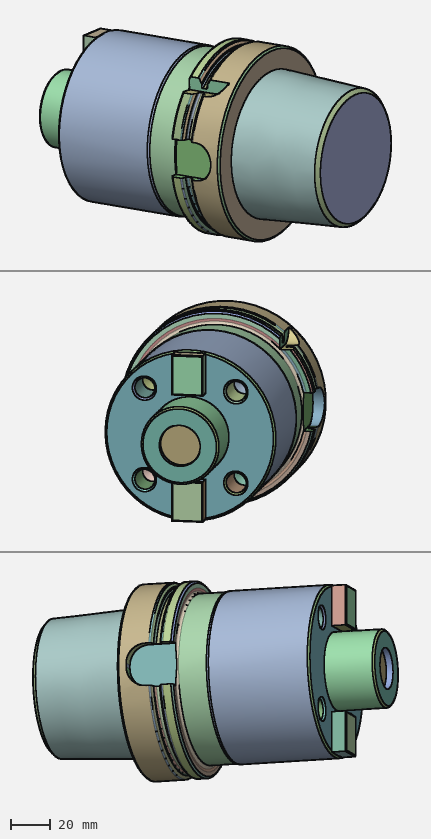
import cadquery as cq
import math

TOTAL_LENGTH = 177.0
BODY_START = 26.5
BODY_END = 81.5
FLANGE_START = 97.5
FLANGE_END = 126.9

SPIGOT_RADIUS = 40.0 / 2
BODY_RADIUS = 88.0 / 2
NECK_RADIUS = 87.0 / 2
FLANGE_RADIUS = 100.0 / 2
TAPER_LARGE_RADIUS = 38.4
TAPER_SMALL_RADIUS = 35.5
EDGE_CHAMFER = 1.0
BODY_REAR_BEVEL = 1.2
TAPER_END_CHAMFER = 2.1

UNDERCUT_FILLET = 1.5
UNDERCUT_RIM_RADIUS = 46.5
UNDERCUT_ANGLE = 8.0

GROOVE_CENTRE = 106.7
GROOVE_MOUTH_WIDTH = 6.4
GROOVE_FLANK_ANGLE = 55.0
GROOVE_LIP_ROUND = 1.0
TROUGH_WIDTH = 3.5
TROUGH_FLOOR_RADIUS = 46.2
TROUGH_FILLET = 0.9

RECESS_DIAMETER = 21.0
RECESS_DEPTH = 3.5

KEY_WIDTH = 16.0
KEY_INNER = 22.1
KEY_OUTER = 42.8
KEY_HEIGHT = 7.8
KEY_CHAMFER = 0.5

HOLE_DIAMETER = 10.3
HOLE_MOUTH_DIAMETER = 12.4
HOLE_OFFSET = 23.5
HOLE_DEPTH = 21.2
DRILL_POINT_ANGLE = 118.0

SLOT_START = 95.8
SLOT_END_RADIUS = 10.0
SLOT_END = 122.0
FRONT_SLOT_WIDTH = 2 * SLOT_END_RADIUS
FRONT_SLOT_FLOOR = 44.0
REAR_SLOT_WIDTH = 21.8
REAR_SLOT_FLOOR = 43.7
NOTCH_WALL = 31.9
NOTCH_FLOOR = 31.7


def add_undercut(profile):
    """Follow the neck into a concave fillet and up a slanted band to the flange face."""
    angle = math.radians(UNDERCUT_ANGLE)
    centre_radius = NECK_RADIUS + UNDERCUT_FILLET
    end_radius = centre_radius + UNDERCUT_FILLET * math.sin(angle)
    end_x = FLANGE_START + (UNDERCUT_RIM_RADIUS - end_radius) * math.tan(angle)
    start_x = end_x - UNDERCUT_FILLET * math.cos(angle)
    middle = (angle - math.pi / 2) / 2
    middle_point = (
        start_x + UNDERCUT_FILLET * math.cos(middle),
        centre_radius + UNDERCUT_FILLET * math.sin(middle),
    )
    return (
        profile.lineTo(start_x, NECK_RADIUS)
        .threePointArc(middle_point, (end_x, end_radius))
        .lineTo(FLANGE_START, UNDERCUT_RIM_RADIUS)
    )


def make_turned_body():
    profile = (
        cq.Workplane("XY")
        .lineTo(0, SPIGOT_RADIUS - EDGE_CHAMFER)
        .lineTo(EDGE_CHAMFER, SPIGOT_RADIUS)
        .lineTo(BODY_START, SPIGOT_RADIUS)
        .lineTo(BODY_START, BODY_RADIUS - EDGE_CHAMFER)
        .lineTo(BODY_START + EDGE_CHAMFER, BODY_RADIUS)
        .lineTo(BODY_END - BODY_REAR_BEVEL, BODY_RADIUS)
        .lineTo(BODY_END, NECK_RADIUS)
    )
    profile = (
        add_undercut(profile)
        .lineTo(FLANGE_START, FLANGE_RADIUS - EDGE_CHAMFER)
        .lineTo(FLANGE_START + EDGE_CHAMFER, FLANGE_RADIUS)
        .lineTo(FLANGE_END - EDGE_CHAMFER, FLANGE_RADIUS)
        .lineTo(FLANGE_END, FLANGE_RADIUS - EDGE_CHAMFER)
        .lineTo(FLANGE_END, TAPER_LARGE_RADIUS)
        .lineTo(TOTAL_LENGTH - TAPER_END_CHAMFER, TAPER_SMALL_RADIUS)
        .lineTo(TOTAL_LENGTH, TAPER_SMALL_RADIUS - TAPER_END_CHAMFER)
        .lineTo(TOTAL_LENGTH, 0)
        .close()
    )
    return profile.revolve(360, (0, 0, 0), (1, 0, 0))


def make_groove_cutter():
    angle = math.radians(GROOVE_FLANK_ANGLE)
    mouth_half = GROOVE_MOUTH_WIDTH / 2
    trough_half = TROUGH_WIDTH / 2
    flank_foot = FLANGE_RADIUS - (mouth_half - trough_half) * math.tan(angle)
    lip_tangent = GROOVE_LIP_ROUND * math.tan(angle / 2)
    lip_start = mouth_half + lip_tangent
    lip_end = (
        mouth_half - lip_tangent * math.cos(angle),
        FLANGE_RADIUS - lip_tangent * math.sin(angle),
    )
    lip_middle = (
        lip_start - GROOVE_LIP_ROUND * math.sin(angle / 2),
        FLANGE_RADIUS - GROOVE_LIP_ROUND * (1 - math.cos(angle / 2)),
    )
    fillet_middle_offset = TROUGH_FILLET * (1 - math.sqrt(0.5))
    fillet_middle = (trough_half - fillet_middle_offset, TROUGH_FLOOR_RADIUS + fillet_middle_offset)
    half_profile = (
        cq.Workplane("XY")
        .moveTo(0, FLANGE_RADIUS)
        .lineTo(lip_start, FLANGE_RADIUS)
        .threePointArc(lip_middle, lip_end)
        .lineTo(trough_half, flank_foot)
        .lineTo(trough_half, TROUGH_FLOOR_RADIUS + TROUGH_FILLET)
        .threePointArc(fillet_middle, (trough_half - TROUGH_FILLET, TROUGH_FLOOR_RADIUS))
        .lineTo(0, TROUGH_FLOOR_RADIUS)
        .close()
    )
    half_ring = half_profile.revolve(360, (0, 0, 0), (1, 0, 0))
    ring = half_ring.union(half_ring.mirror("YZ"))
    return ring.translate((GROOVE_CENTRE, 0, 0))


def make_key(side):
    key = (
        cq.Workplane("XY")
        .box(KEY_HEIGHT, KEY_WIDTH, KEY_OUTER - KEY_INNER, centered=(False, True, True))
        .faces("<X")
        .chamfer(KEY_CHAMFER)
    )
    return key.translate((BODY_START - KEY_HEIGHT, 0, side * (KEY_OUTER + KEY_INNER) / 2))


def make_hole(y, z):
    radius = HOLE_DIAMETER / 2
    mouth = HOLE_MOUTH_DIAMETER / 2
    point_length = radius / math.tan(math.radians(DRILL_POINT_ANGLE / 2))
    profile = (
        cq.Workplane("XY")
        .moveTo(0, 0)
        .lineTo(0, mouth)
        .lineTo(mouth - radius, radius)
        .lineTo(HOLE_DEPTH, radius)
        .lineTo(HOLE_DEPTH + point_length, 0)
        .close()
    )
    return profile.revolve(360, (0, 0, 0), (1, 0, 0)).translate((BODY_START, y, z))


def make_rim_cutter(z_bottom, z_top, y_start, y_end):
    """Slot milled along Y through the front of the flange, with rounded corners at its end."""
    bend_x = SLOT_END - SLOT_END_RADIUS
    corner_rise = SLOT_END_RADIUS * (1 - math.sqrt(0.5))
    corner_x = SLOT_END - corner_rise
    outline = (
        cq.Workplane("XZ", origin=(0, y_end, 0))
        .moveTo(SLOT_START, z_bottom)
        .lineTo(bend_x, z_bottom)
        .threePointArc((corner_x, z_bottom + corner_rise), (SLOT_END, z_bottom + SLOT_END_RADIUS))
    )
    if z_top - z_bottom > 2 * SLOT_END_RADIUS:
        outline = outline.lineTo(SLOT_END, z_top - SLOT_END_RADIUS)
    outline = (
        outline.threePointArc((corner_x, z_top - corner_rise), (bend_x, z_top))
        .lineTo(SLOT_START, z_top)
        .close()
    )
    return outline.extrude(y_end - y_start)


result = make_turned_body().cut(make_groove_cutter())

recess = cq.Workplane("YZ").circle(RECESS_DIAMETER / 2).extrude(RECESS_DEPTH)
result = result.cut(recess)

for side in (-1, 1):
    result = result.union(make_key(side))

for y in (-HOLE_OFFSET, HOLE_OFFSET):
    for z in (-HOLE_OFFSET, HOLE_OFFSET):
        result = result.cut(make_hole(y, z))

front_half = FRONT_SLOT_WIDTH / 2
rear_half = REAR_SLOT_WIDTH / 2
notch_top = FLANGE_RADIUS + SLOT_END_RADIUS
result = (
    result.cut(make_rim_cutter(-front_half, front_half, -FLANGE_RADIUS, -FRONT_SLOT_FLOOR))
    .cut(make_rim_cutter(-rear_half, rear_half, REAR_SLOT_FLOOR, FLANGE_RADIUS))
    .cut(make_rim_cutter(NOTCH_FLOOR, notch_top, -FLANGE_RADIUS, -NOTCH_WALL))
)